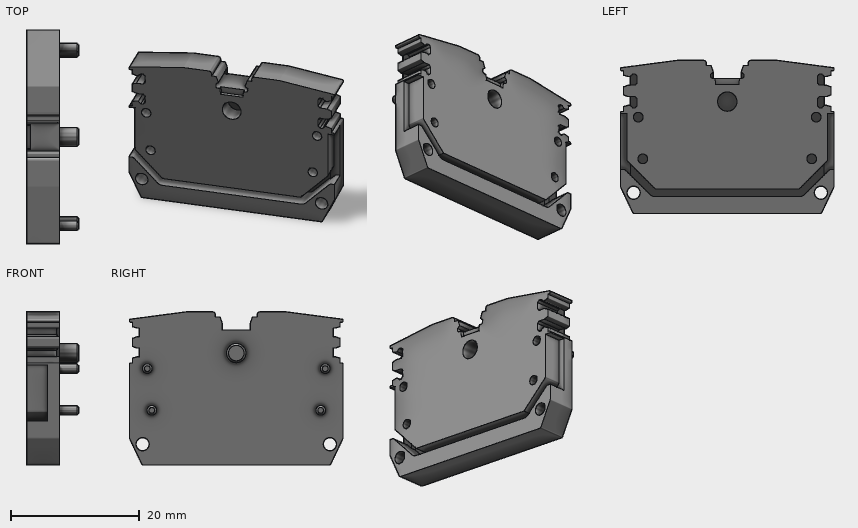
import cadquery as cq
import math


thickness = 5.1
half_width = 16.6
height = 23.8

shoulder_half_width = 7.75
shoulder_angle = math.radians(7.5)
lip_radius = 0.25
lip_recess_half_width = 16.1
lower_step_height = 15.87
lower_step_round = 0.25
lower_corner_height = 4.2
bottom_half_width = 14.6
lower_corner_round = 0.5
bottom_corner_round = 0.35

lip_center_y = half_width - lip_radius
lip_center_z = (
    height
    - (lip_center_y - shoulder_half_width) * math.tan(shoulder_angle)
    - lip_radius / math.cos(shoulder_angle)
)

rib_center_height = 19.04
rib_half_height = 0.63
groove_floor_half_width = 15.08
groove_mouth_half_width = 15.4
groove_near_offset = 0.9
groove_far_offset = 2.22
groove_far_mouth_offset = 2.43
groove_mouth_round = 0.08

pocket_floor_half_width = 13.97
pocket_far_offset = 2.62
pocket_corner = 0.33
pocket_wall_inner_x = 4.65
pocket_wall_outer_x = 4.9

notch_top_half_width = 3.22
notch_top_round = 0.5
notch_step_height = 23.0
notch_step_half_width = 2.5
notch_step_round = 0.25
notch_half_width = 2.15
notch_taper_end = 22.0
notch_floor = 21.0

undercut_half_width = 2.57
undercut_top = 21.6
undercut_round = 0.28
undercut_end_x = 4.8

label_top_half_width = 1.92
label_bottom_half_width = 1.78
label_height = 1.0
label_depth = 0.6

channel_depth = 3.2
channel_deep_depth = 4.15
channel_deep_half_width = 15.0
channel_top = 15.55
plate_half_width = 15.58
plate_corner_height = 8.25
plate_bottom_half_width = 11.17
plate_bottom = 3.83
plate_round = 0.5
channel_ledge_height = 6.85
channel_ledge_half_width = 15.9
channel_bottom_half_width = 11.65
channel_bottom = 2.63
channel_outer_round = 0.5
channel_inner_round = 1.2

pin_length = 3.0
pin_chamfer = 0.3
socket_depth = 3.2
small_pin_radius = 0.75
large_pin_radius = 1.5
upper_pin_half_spacing = 13.8
upper_pin_height = 14.97
lower_pin_half_spacing = 13.1
lower_pin_height = 8.5
center_pin_height = 17.38

mount_hole_radius = 1.0
mount_hole_half_spacing = 14.53
mount_hole_height = 3.25

corner_tolerance = 0.02

pins = [
    (0, center_pin_height, large_pin_radius),
    (upper_pin_half_spacing, upper_pin_height, small_pin_radius),
    (-upper_pin_half_spacing, upper_pin_height, small_pin_radius),
    (lower_pin_half_spacing, lower_pin_height, small_pin_radius),
    (-lower_pin_half_spacing, lower_pin_height, small_pin_radius),
]


def plate_from(points, depth):
    """Extrude a closed (y, z) outline from X = 0 along +X."""
    return cq.Workplane("YZ").polyline(points).close().extrude(depth)


def round_edge(solid, y, z, radius):
    """Fillet the X-direction edge at the outline corner (y, z)."""
    corner = cq.selectors.BoxSelector(
        (0, y - corner_tolerance, z - corner_tolerance),
        (thickness, y + corner_tolerance, z + corner_tolerance),
    )
    return solid.edges("|X").edges(corner).fillet(radius)


def both_sides(solid):
    """Join a +Y half with its mirror image."""
    return solid.union(solid.mirror("XZ"))


def groove_mouth(direction):
    """Groove corners listed from the end rib outward; direction is +1 above the rib, -1 below."""
    return [
        (lip_recess_half_width, rib_center_height + direction * rib_half_height),
        (groove_mouth_half_width, rib_center_height + direction * groove_near_offset),
        (groove_floor_half_width, rib_center_height + direction * groove_near_offset),
        (groove_floor_half_width, rib_center_height + direction * groove_far_offset),
        (groove_mouth_half_width, rib_center_height + direction * groove_far_offset),
        (lip_recess_half_width, rib_center_height + direction * groove_far_mouth_offset),
    ]


def make_body():
    below_lip = [
        (0, 0),
        (bottom_half_width, 0),
        (half_width, lower_corner_height),
        (half_width, lower_step_height),
        (lip_recess_half_width, lower_step_height),
        *reversed(groove_mouth(-1)),
        *groove_mouth(1),
        (lip_recess_half_width, lip_center_z - lip_radius),
        (lip_center_y, lip_center_z - lip_radius),
    ]
    lip_arc_end = (
        lip_center_y + lip_radius * math.sin(shoulder_angle),
        lip_center_z + lip_radius * math.cos(shoulder_angle),
    )
    above_lip = [
        (shoulder_half_width, height),
        (notch_top_half_width, height),
        (notch_top_half_width, notch_step_height),
        (notch_step_half_width, notch_step_height),
        (notch_half_width, notch_taper_end),
        (notch_half_width, notch_floor),
        (0, notch_floor),
    ]
    body = (
        cq.Workplane("YZ")
        .polyline(below_lip)
        .threePointArc((half_width, lip_center_z), lip_arc_end)
        .polyline(above_lip, includeCurrent=True)
        .close()
        .extrude(thickness)
    )
    body = round_edge(body, bottom_half_width, 0, bottom_corner_round)
    body = round_edge(body, half_width, lower_corner_height, lower_corner_round)
    body = round_edge(body, half_width, lower_step_height, lower_step_round)
    for offset in (rib_half_height, groove_far_mouth_offset):
        for direction in (1, -1):
            mouth_z = rib_center_height + direction * offset
            body = round_edge(body, lip_recess_half_width, mouth_z, groove_mouth_round)
    body = round_edge(body, notch_top_half_width, height, notch_top_round)
    body = round_edge(body, notch_step_half_width, notch_step_height, notch_step_round)
    return both_sides(body)


def make_channel():
    """Channel that is shallow at its outer ends and deeper between them."""
    outer = plate_from(
        [
            (0, channel_top),
            (half_width, channel_top),
            (half_width, channel_ledge_height),
            (channel_ledge_half_width, channel_ledge_height),
            (channel_bottom_half_width, channel_bottom),
            (0, channel_bottom),
        ],
        channel_deep_depth,
    )
    outer = round_edge(outer, channel_ledge_half_width, channel_ledge_height, channel_outer_round)
    outer = round_edge(outer, channel_bottom_half_width, channel_bottom, channel_inner_round)
    plate = plate_from(
        [
            (0, channel_top),
            (plate_half_width, channel_top),
            (plate_half_width, plate_corner_height),
            (plate_bottom_half_width, plate_bottom),
            (0, plate_bottom),
        ],
        channel_deep_depth,
    )
    plate = round_edge(plate, plate_half_width, plate_corner_height, plate_round)
    shallow = cq.Workplane().box(channel_depth, half_width, height, centered=False)
    deep = cq.Workplane().box(channel_deep_depth, channel_deep_half_width, height, centered=False)
    return both_sides(outer.cut(plate).intersect(shallow.union(deep)))


def make_groove_pocket(direction):
    """Undercut behind one groove, closed by a slanted wall near the +X face."""
    near = rib_center_height + direction * groove_near_offset
    far_mouth = rib_center_height + direction * groove_far_offset
    far = rib_center_height + direction * pocket_far_offset
    section = plate_from(
        [
            (groove_floor_half_width, near),
            (pocket_floor_half_width + pocket_corner, near),
            (pocket_floor_half_width, near + direction * pocket_corner),
            (pocket_floor_half_width, far - direction * pocket_corner),
            (pocket_floor_half_width + pocket_corner, far),
            (groove_floor_half_width - (pocket_far_offset - groove_far_offset), far),
            (groove_floor_half_width, far_mouth),
        ],
        thickness,
    )
    slanted_end = (
        cq.Workplane("XY")
        .polyline(
            [
                (0, pocket_floor_half_width),
                (pocket_wall_inner_x, pocket_floor_half_width),
                (pocket_wall_outer_x, groove_floor_half_width),
                (0, groove_floor_half_width),
            ]
        )
        .close()
        .extrude(height)
    )
    return both_sides(section.intersect(slanted_end))


def make_notch_undercut():
    undercut = plate_from(
        [
            (notch_half_width, notch_floor),
            (undercut_half_width, notch_floor),
            (undercut_half_width, undercut_top),
            (notch_half_width, notch_taper_end),
        ],
        undercut_end_x,
    )
    undercut = round_edge(undercut, undercut_half_width, notch_floor, undercut_round)
    return both_sides(undercut)


def make_label_pocket():
    bottom = notch_floor - label_height
    return plate_from(
        [
            (-label_top_half_width, notch_floor),
            (label_top_half_width, notch_floor),
            (label_bottom_half_width, bottom),
            (-label_bottom_half_width, bottom),
        ],
        label_depth,
    )


def make_cylinder(y, z, radius, length, start_x=0.0):
    return cq.Workplane("YZ", origin=(start_x, y, z)).circle(radius).extrude(length)


result = make_body().cut(make_channel())
for side in (1, -1):
    result = result.cut(make_groove_pocket(side))
    mount_hole_y = side * mount_hole_half_spacing
    mount_hole = make_cylinder(mount_hole_y, mount_hole_height, mount_hole_radius, thickness)
    result = result.cut(mount_hole)
result = result.cut(make_notch_undercut())
result = result.cut(make_label_pocket())
for pin_y, pin_z, pin_radius in pins:
    result = result.cut(make_cylinder(pin_y, pin_z, pin_radius, socket_depth))
    pin = make_cylinder(pin_y, pin_z, pin_radius, pin_length, thickness)
    result = result.union(pin.faces(">X").chamfer(pin_chamfer))